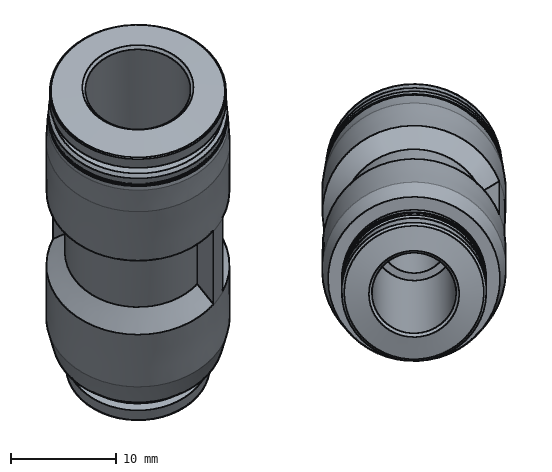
import cadquery as cq

length = 41.5
body_diameter = 17.5

waist_diameter = 13.95
waist_edge_diameter = 17.42
upper_shoulder_z = 26.25
lower_shoulder_z = 15.45
shoulder_height = 2.0
waist_top_z = upper_shoulder_z - shoulder_height
waist_bottom_z = lower_shoulder_z + shoulder_height
upper_taper_z = 33.55
lower_taper_z = 7.85
body_top_z = 36.55
body_top_diameter = 17.2
body_bottom_z = 4.85
body_bottom_diameter = 16.35
rib_thickness = 1.9

upper_collar_diameter = 17.0
upper_groove_diameter = 16.8
upper_collar_top_z = 38.45
upper_collar_chamfer = 0.35
upper_groove_bottom_z = 36.95
upper_groove_top_z = 37.25
upper_neck_diameter = 12.0
upper_button_diameter = 16.8
upper_button_base_z = 39.55
upper_button_rim_z = 40.8
upper_button_rim_chamfer = 0.12
upper_bore_diameter = 10.0

lower_collar_diameter = 13.77
lower_groove_diameter = 13.6
lower_collar_bottom_z = 2.95
lower_collar_chamfer = 0.2
lower_groove_bottom_z = 3.85
lower_groove_top_z = 4.1
lower_neck_diameter = 9.8
lower_button_diameter = 13.77
lower_button_base_z = 2.15
lower_button_rim_z = 0.7
lower_button_rim_chamfer = 0.25
lower_bore_diameter = 8.0

neck_chamfer = 0.15
bore_chamfer = 0.3
through_diameter = 6.5

lower_mouth_radius = lower_bore_diameter / 2 + bore_chamfer
upper_mouth_radius = upper_bore_diameter / 2 + bore_chamfer


def revolve_profile(points):
    """Turn a closed (radius, height) outline about the Z axis."""
    return cq.Workplane("XZ").polyline(points).close().revolve(360, (0, 0), (0, 1))


lower_end_profile = [
    (0, 0),
    (lower_mouth_radius, 0),
    (lower_button_diameter / 2 - lower_button_rim_chamfer, lower_button_rim_z - lower_button_rim_chamfer),
    (lower_button_diameter / 2, lower_button_rim_z),
    (lower_button_diameter / 2, lower_button_base_z),
    (lower_neck_diameter / 2 + neck_chamfer, lower_button_base_z),
    (lower_neck_diameter / 2, lower_button_base_z + neck_chamfer),
    (lower_neck_diameter / 2, lower_collar_bottom_z),
    (lower_collar_diameter / 2 - lower_collar_chamfer, lower_collar_bottom_z),
    (lower_collar_diameter / 2, lower_collar_bottom_z + lower_collar_chamfer),
    (lower_collar_diameter / 2, lower_groove_bottom_z),
    (lower_groove_diameter / 2, lower_groove_bottom_z),
    (lower_groove_diameter / 2, lower_groove_top_z),
    (lower_collar_diameter / 2, lower_groove_top_z),
    (lower_collar_diameter / 2, body_bottom_z),
]

body_profile = [
    (body_bottom_diameter / 2, body_bottom_z),
    (body_diameter / 2, lower_taper_z),
    (waist_edge_diameter / 2, lower_shoulder_z),
    (waist_diameter / 2, waist_bottom_z),
    (waist_diameter / 2, waist_top_z),
    (waist_edge_diameter / 2, upper_shoulder_z),
    (body_diameter / 2, upper_taper_z),
    (body_top_diameter / 2, body_top_z),
]

upper_end_profile = [
    (upper_collar_diameter / 2, upper_groove_bottom_z),
    (upper_groove_diameter / 2, upper_groove_bottom_z),
    (upper_groove_diameter / 2, upper_groove_top_z),
    (upper_collar_diameter / 2, upper_groove_top_z),
    (upper_collar_diameter / 2, upper_collar_top_z - upper_collar_chamfer),
    (upper_collar_diameter / 2 - upper_collar_chamfer, upper_collar_top_z),
    (upper_neck_diameter / 2, upper_collar_top_z),
    (upper_neck_diameter / 2, upper_button_base_z - neck_chamfer),
    (upper_neck_diameter / 2 + neck_chamfer, upper_button_base_z),
    (upper_button_diameter / 2, upper_button_base_z),
    (upper_button_diameter / 2, upper_button_rim_z),
    (upper_button_diameter / 2 - upper_button_rim_chamfer, upper_button_rim_z + upper_button_rim_chamfer),
    (upper_mouth_radius, length),
    (0, length),
]

bore_profile = [
    (0, 0),
    (lower_mouth_radius, 0),
    (lower_bore_diameter / 2, bore_chamfer),
    (lower_bore_diameter / 2, waist_bottom_z),
    (through_diameter / 2, waist_bottom_z),
    (through_diameter / 2, waist_top_z),
    (upper_bore_diameter / 2, waist_top_z),
    (upper_bore_diameter / 2, length - bore_chamfer),
    (upper_mouth_radius, length),
    (0, length),
]

turned_body = revolve_profile(lower_end_profile + body_profile + upper_end_profile)

rib_height = upper_shoulder_z - lower_shoulder_z
rib_envelope = (
    cq.Workplane("XY")
    .workplane(offset=lower_shoulder_z)
    .circle(waist_edge_diameter / 2)
    .extrude(rib_height)
)
rib_plate = (
    cq.Workplane("XY")
    .workplane(offset=lower_shoulder_z)
    .rect(body_diameter, rib_thickness)
    .extrude(rib_height)
)
ribs = rib_plate.intersect(rib_envelope)

result = turned_body.union(ribs).cut(revolve_profile(bore_profile))